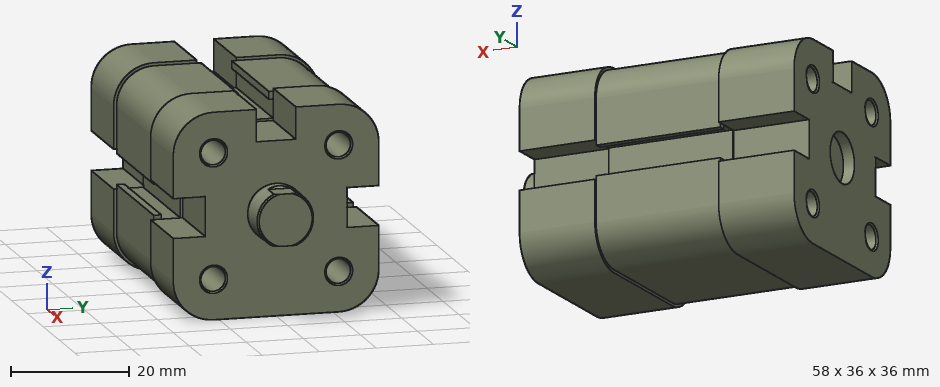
import cadquery as cq


overall_length = 58.0
cap_length = 14.25
barrel_length = 23.45
barrel_start = cap_length
front_cap_start = barrel_start + barrel_length
front_face = front_cap_start + cap_length

cap_size = 36.0
barrel_inset = 0.5
barrel_size = cap_size - 2 * barrel_inset
hole_spacing = 21.9
corner_offset = hole_spacing / 2
cap_corner_radius = cap_size / 2 - corner_offset
barrel_corner_radius = cap_corner_radius - barrel_inset

slot_width = 6.9
cap_slot_floor = 12.4
barrel_slot_floor = 12.8
slot_angles = (-90, 0, 90)

lip_width = 0.75
lip_height = 1.35
mouth_width = slot_width - 2 * lip_width

hole_diameter = 4.3
countersink_diameter = 4.9
countersink_depth = (countersink_diameter - hole_diameter) / 2
recess_diameter = 9.05
recess_depth = 2.1

rod_diameter = 10.0
rod_radius = rod_diameter / 2
rod_chamfer = 0.3
collar_length = 1.5
shoulder_start = front_face + collar_length
shoulder_length = 0.25
rod_end_diameter = 9.85
rod_end_radius = rod_end_diameter / 2
wrench_size = 9.05
flat_depth = (rod_diameter - wrench_size) / 2
flat_length = 3.95
flat_start = overall_length - flat_length


def rounded_block(size, corner_radius, start, length):
    """Square block with four rounded edges along X."""
    block = cq.Workplane("YZ").workplane(offset=start).rect(size, size).extrude(length)
    return block.edges("|X").fillet(corner_radius)


def slot_cutter(width, bottom, top, start, length):
    """Boxes for the top slot, copied round X to the two side slots."""
    box = cq.Workplane("XY").box(length, width, top - bottom, centered=(False, True, False))
    box = box.translate((start, 0, bottom))
    cutter = cq.Workplane("XY")
    for angle in slot_angles:
        cutter = cutter.add(box.rotate((0, 0, 0), (1, 0, 0), angle))
    return cutter.combine()


def at_bolt_holes(start):
    """Workplane across X with a point at each bolt hole centre."""
    plane = cq.Workplane("YZ").workplane(offset=start)
    return plane.rect(hole_spacing, hole_spacing, forConstruction=True).vertices()


def bolt_drills(start, length):
    return at_bolt_holes(start).circle(hole_diameter / 2).extrude(length)


def countersinks(outer_face, inward):
    """Cones at the bolt hole mouths; inward is +1 or -1 along X, from the face into the cap."""
    cone = cq.Solid.makeCone(
        countersink_diameter / 2,
        hole_diameter / 2,
        countersink_depth,
        dir=cq.Vector(0, 0, inward),
    )
    return at_bolt_holes(outer_face).eachpoint(lambda place: cone.moved(place), useLocalCoordinates=True)


def make_cap(start, outer_face, inward):
    """Slotted end cap with its bolt holes countersunk on the outer face."""
    cap = rounded_block(cap_size, cap_corner_radius, start, cap_length)
    cap = cap.cut(slot_cutter(slot_width, cap_slot_floor, cap_size / 2, start, cap_length))
    cap = cap.cut(bolt_drills(start, cap_length))
    return cap.cut(countersinks(outer_face, inward))


def make_rear_cap():
    recess = cq.Workplane("YZ").circle(recess_diameter / 2).extrude(recess_depth)
    return make_cap(0, 0, 1).cut(recess)


def make_front_cap():
    """End cap with a bore for the rod."""
    bore = cq.Workplane("YZ").workplane(offset=front_cap_start).circle(rod_radius).extrude(cap_length)
    return make_cap(front_cap_start, front_face, -1).cut(bore)


def make_barrel():
    """Barrel with T-slots: a mouth between the lips above a wider channel."""
    barrel_top = barrel_size / 2
    lip_bottom = barrel_top - lip_height
    barrel = rounded_block(barrel_size, barrel_corner_radius, barrel_start, barrel_length)
    barrel = barrel.cut(slot_cutter(mouth_width, barrel_slot_floor, barrel_top, barrel_start, barrel_length))
    barrel = barrel.cut(slot_cutter(slot_width, barrel_slot_floor, lip_bottom, barrel_start, barrel_length))
    return barrel.cut(bolt_drills(barrel_start, barrel_length))


def make_rod():
    """Round rod seated against the barrel; its flats run out through 45 degree slopes."""
    rod = (
        cq.Workplane("XY")
        .moveTo(front_cap_start, 0)
        .lineTo(front_cap_start, rod_radius)
        .lineTo(shoulder_start, rod_radius)
        .lineTo(shoulder_start + shoulder_length, rod_end_radius)
        .lineTo(overall_length - rod_chamfer, rod_end_radius)
        .lineTo(overall_length, rod_end_radius - rod_chamfer)
        .lineTo(overall_length, 0)
        .close()
        .revolve(360, (0, 0, 0), (1, 0, 0))
    )
    flat = (
        cq.Workplane("XZ")
        .moveTo(flat_start, wrench_size / 2)
        .lineTo(overall_length, wrench_size / 2)
        .lineTo(overall_length, rod_radius)
        .lineTo(flat_start - flat_depth, rod_radius)
        .close()
        .extrude(rod_radius, both=True)
    )
    return rod.cut(flat).cut(flat.mirror("XY"))


rear_cap = make_rear_cap()
barrel = make_barrel()
front_cap = make_front_cap()
rod = make_rod()

result = cq.Compound.makeCompound([rear_cap.val(), barrel.val(), front_cap.val(), rod.val()])